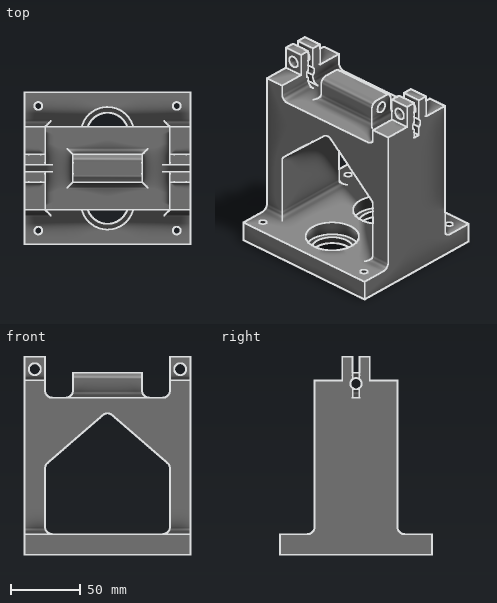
import cadquery as cq

base_length = 120.0
base_width = 110.0
base_thickness = 15.0
bolt_diameter = 5.5
bolt_inset = 10.0
bore_diameter = 30.0
counterbore_diameter = 38.5
counterbore_depth = 10.0
bore_spacing = 50.0

total_height = 143.0
upright_thickness = 15.0
frame_width = 60.0
shoulder_height = 126.0
bridge_height = 113.5
window_corner_height = 64.8
window_apex_height = 103.7
fillet_radius = 5.0

ears_width = 20.0
slot_width = 5.0
ear_hole_diameter = 8.5
ear_hole_height = 134.0
ear_hole_inset = upright_thickness / 2

block_length = 50.0
block_width = 20.0
block_height = 131.5
block_bore_diameter = 8.0
block_bore_height = 123.5

inner_span = base_length - 2 * upright_thickness


def centered_box(length, width, bottom, top):
    """Box centered on the Z axis between two heights."""
    box = cq.Workplane("XY").box(length, width, top - bottom, centered=(True, True, False))
    return box.translate((0, 0, bottom))


def x_cylinder(diameter, height):
    """Cylinder along X through the full length of the part."""
    return cq.Workplane("YZ").center(0, height).circle(diameter / 2).extrude(base_length, both=True)


def make_frame():
    """Intersect the front and side outlines, so the coves at the base meet in miters."""
    front = centered_box(base_length, base_width, 0, total_height)
    gap = centered_box(inner_span, base_width, bridge_height, total_height)
    gap = gap.edges("|Y and <Z").fillet(fillet_radius)
    half_span = inner_span / 2
    window = (
        cq.Workplane("XZ")
        .moveTo(-half_span, base_thickness)
        .lineTo(half_span, base_thickness)
        .lineTo(half_span, window_corner_height)
        .lineTo(0, window_apex_height)
        .lineTo(-half_span, window_corner_height)
        .close()
        .extrude(base_width, both=True)
        .edges("|Y")
        .fillet(fillet_radius)
    )
    front = front.cut(gap).cut(window)

    base = centered_box(base_length, base_width, 0, base_thickness)
    column = centered_box(base_length, frame_width, base_thickness, shoulder_height)
    side = base.union(column)
    side = side.edges(cq.selectors.BoxSelector(
        (-base_length, -frame_width / 2 - 1.5, base_thickness - 1.5),
        (base_length, frame_width / 2 + 1.5, base_thickness + 1.5),
    )).edges("|X").fillet(fillet_radius)
    side = side.union(centered_box(base_length, ears_width, shoulder_height, total_height))
    return front.intersect(side)


def cove_profile(plane, width, depth):
    """Block outline with concave flares at its foot, extruded both ways from its plane."""
    half_width = width / 2
    foot = half_width + fillet_radius
    flare_top = bridge_height + fillet_radius
    return (
        cq.Workplane(plane)
        .moveTo(-foot, bridge_height)
        .lineTo(foot, bridge_height)
        .radiusArc((half_width, flare_top), fillet_radius)
        .lineTo(half_width, block_height)
        .lineTo(-half_width, block_height)
        .lineTo(-half_width, flare_top)
        .radiusArc((-foot, bridge_height), fillet_radius)
        .close()
        .extrude(depth, both=True)
    )


def make_block():
    """Block with mitered coves around its foot and rounded long top edges."""
    lengthwise = cove_profile("XZ", block_length, base_width)
    crosswise = cove_profile("YZ", block_width, base_length)
    crosswise = crosswise.edges("|X and >Z").fillet(fillet_radius)
    return lengthwise.intersect(crosswise)


def cut_ears(body):
    """Slot each pair of ears and drill the pin holes across them."""
    offset = base_length / 2 - upright_thickness / 2 - fillet_radius / 2
    slot_length = upright_thickness + fillet_radius
    slot = centered_box(slot_length, slot_width, bridge_height, total_height)
    hole_offset = base_length / 2 - ear_hole_inset
    for side in (-1, 1):
        body = body.cut(slot.translate((side * offset, 0, 0)))
        hole = (
            cq.Workplane("XZ")
            .center(side * hole_offset, ear_hole_height)
            .circle(ear_hole_diameter / 2)
            .extrude(ears_width, both=True)
        )
        body = body.cut(hole)
    return body


def cut_base_holes(body):
    """Corner bolt holes and two counterbored holes, all limited to the base plate."""
    bolts = (
        cq.Workplane("XY")
        .rect(base_length - 2 * bolt_inset, base_width - 2 * bolt_inset, forConstruction=True)
        .vertices()
        .circle(bolt_diameter / 2)
        .extrude(base_thickness)
    )
    bore_centers = [(0, -bore_spacing / 2), (0, bore_spacing / 2)]
    bores = (
        cq.Workplane("XY")
        .pushPoints(bore_centers)
        .circle(bore_diameter / 2)
        .extrude(base_thickness)
    )
    counterbores = (
        cq.Workplane("XY", origin=(0, 0, base_thickness - counterbore_depth))
        .pushPoints(bore_centers)
        .circle(counterbore_diameter / 2)
        .extrude(counterbore_depth)
    )
    return body.cut(bolts).cut(bores).cut(counterbores)


body = make_frame().union(make_block())
body = cut_ears(body)
body = body.cut(x_cylinder(block_bore_diameter, block_bore_height))
result = cut_base_holes(body)